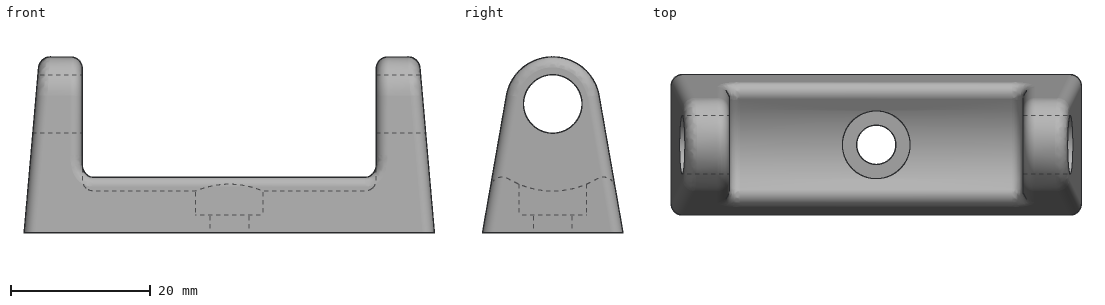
import cadquery as cq
import math

base_length = 58.7
base_width = 20.15
ear_radius = 6.75
pivot_height = 18.45
total_height = pivot_height + ear_radius
end_draft = math.radians(5)

ear_gap = 42.0
trough_radius = 12.45
trough_corner_radius = 1.5
edge_radius = 1.7

tolerance = 0.005

pivot_diameter = 8.35
screw_diameter = 5.6
counterbore_diameter = 9.7
counterbore_floor = 2.5


def cylinder_along_x(radius, length):
    """Cylinder on the pivot axis, centred on X = 0."""
    return (
        cq.Workplane("YZ")
        .center(0, pivot_height)
        .circle(radius)
        .extrude(length / 2, both=True)
    )


def tapered_body():
    """Round-topped cross-section along X, limited by the two drafted end faces."""
    half_width = base_width / 2
    corner_distance = math.hypot(half_width, pivot_height)
    tangent_angle = math.acos(ear_radius / corner_distance) - math.atan2(pivot_height, half_width)
    tangent_y = ear_radius * math.cos(tangent_angle)
    tangent_z = pivot_height + ear_radius * math.sin(tangent_angle)
    cross_section = (
        cq.Workplane("YZ")
        .moveTo(-half_width, 0)
        .lineTo(half_width, 0)
        .lineTo(tangent_y, tangent_z)
        .threePointArc((0, total_height), (-tangent_y, tangent_z))
        .close()
        .extrude(base_length / 2, both=True)
    )
    half_base = base_length / 2
    half_top = half_base - total_height * math.tan(end_draft)
    side_outline = (
        cq.Workplane("XZ")
        .polyline([
            (-half_base, 0),
            (half_base, 0),
            (half_top, total_height),
            (-half_top, total_height),
        ])
        .close()
        .extrude(base_width / 2, both=True)
    )
    return cross_section.intersect(side_outline)


def trough():
    """Space between the ears, with rounded corners where floor meets ear."""
    return cylinder_along_x(trough_radius, ear_gap).edges("%CIRCLE").fillet(trough_corner_radius)


def vertical_hole(diameter, bottom):
    return (
        cq.Workplane("XY", origin=(0, 0, bottom))
        .circle(diameter / 2)
        .extrude(total_height - bottom)
    )


def is_exposed_rim(edge):
    """True for the sharp outer edges of the ears and trough, above the flat bottom."""
    center = edge.Center()
    bounds = edge.BoundingBox()
    on_bottom = center.z < tolerance
    runs_across_trough = abs(center.y) < tolerance and center.z < pivot_height
    ear_top_seam = bounds.xlen > tolerance and bounds.zlen < tolerance and center.z > pivot_height
    return not (on_bottom or runs_across_trough or ear_top_seam)


bracket = tapered_body().cut(trough())
rims = [edge for edge in bracket.edges().vals() if is_exposed_rim(edge)]
bracket = bracket.newObject(rims).fillet(edge_radius)

result = (
    bracket
    .cut(cylinder_along_x(pivot_diameter / 2, base_length))
    .cut(vertical_hole(screw_diameter, 0))
    .cut(vertical_hole(counterbore_diameter, counterbore_floor))
)